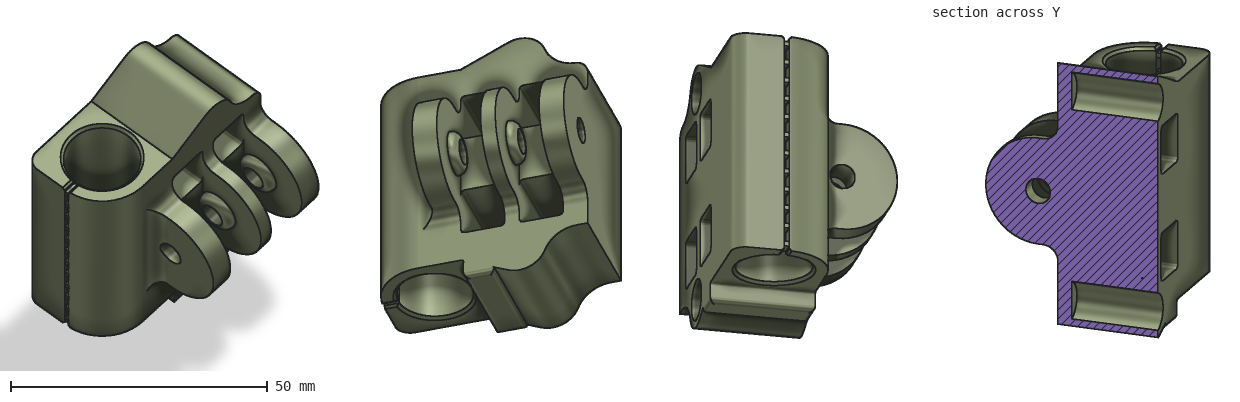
import cadquery as cq
import math


total_height = 54.45
depth = 45.2
body_height = 44.85
wall = 3.0
bore_diameter = 15.0
body_width = bore_diameter + 2 * wall
bore_center = body_width / 2
front_corner_radius = 3.0
bore_chamfer = 0.6

boss_radius = 5.6
boss_center_y = 31.2
boss_center_z = total_height / 2 - boss_radius
hollow_radius = 7.0
rear_half_height = 19.1
rear_corner_radius = 2.7
side_hole_diameter = 8.2
side_hole_depth = body_width - wall

outer_lug_thickness = 5.0
middle_lug_thickness = 3.0
lug_gap = 9.0
lug_radius = 11.0
lug_reach = 4.1
lug_blend_radius = 3.0
pin_diameter = 5.0
spacer_radius = 4.4
spacer_height = 1.8
pin_x = body_width + lug_reach

rear_lug_front = depth - outer_lug_thickness
middle_lug_back = rear_lug_front - lug_gap
middle_lug_front = middle_lug_back - middle_lug_thickness
front_lug_back = middle_lug_front - lug_gap
front_lug_front = front_lug_back - outer_lug_thickness

window_height = 10.0
window_center_z = 11.05
window_radius = 1.0

foot_setback = 0.55
foot_front = front_lug_back + foot_setback
foot_back = 26.0
foot_bottom = -26.5
foot_edge_radius = 1.15
foot_inner_radius = 0.5

slit_width = 1.0
slit_chamfer = 0.5
bridge_count = 12
bridge_pitch = 3.8
bridge_height = 1.0
bridge_recess = 0.1


def tangent_point_on_boss(corner_y, corner_z):
    """Point where a line from the corner touches the front of the upper boss."""
    dy = corner_y - boss_center_y
    dz = corner_z - boss_center_z
    angle = math.atan2(dz, dy) - math.acos(boss_radius / math.hypot(dy, dz))
    return (
        boss_center_y + boss_radius * math.cos(angle),
        boss_center_z + boss_radius * math.sin(angle),
    )


def make_half_profile():
    """Upper half of the side outline, extruded across the body width."""
    corner = (front_lug_back, body_height / 2)
    boss_front = tangent_point_on_boss(*corner)
    boss_top = (boss_center_y, boss_center_z + boss_radius)

    hollow_z = rear_half_height + hollow_radius
    center_distance = boss_radius + hollow_radius
    hollow_y = boss_center_y + math.sqrt(center_distance**2 - (hollow_z - boss_center_z) ** 2)
    share = boss_radius / center_distance
    boss_back = (
        boss_center_y + share * (hollow_y - boss_center_y),
        boss_center_z + share * (hollow_z - boss_center_z),
    )
    return (
        cq.Workplane("YZ")
        .moveTo(0, 0)
        .lineTo(0, corner[1])
        .lineTo(*corner)
        .lineTo(*boss_front)
        .threePointArc(boss_top, boss_back)
        .radiusArc((hollow_y, rear_half_height), -hollow_radius)
        .lineTo(depth, rear_half_height)
        .lineTo(depth, 0)
        .close()
        .extrude(body_width)
    )


def make_foot():
    """Block under the lower slope with rounded bottom edges and a small blend in front."""
    ceiling = -body_height / 2
    foot = (
        cq.Workplane("YZ")
        .moveTo(foot_front - foot_inner_radius, ceiling)
        .radiusArc((foot_front, ceiling - foot_inner_radius), foot_inner_radius)
        .lineTo(foot_front, foot_bottom)
        .lineTo(foot_back, foot_bottom)
        .lineTo(foot_back, ceiling + wall)
        .lineTo(foot_front - foot_inner_radius, ceiling + wall)
        .close()
        .extrude(body_width)
    )
    return foot.faces("<Z").edges().fillet(foot_edge_radius)


def make_body():
    upper = make_half_profile()
    rounded_upper = upper.faces(">Y").edges(">Z").fillet(rear_corner_radius)
    lower = upper.mirror("XY")

    slope_end = (
        cq.Workplane("XY", origin=(0, 0, -total_height / 2))
        .box(body_width, foot_front, (total_height - body_height) / 2, centered=False)
    )
    body = rounded_upper.union(lower.cut(slope_end)).union(make_foot())

    plan = (
        cq.Workplane("XY", origin=(0, 0, -total_height / 2))
        .moveTo(0, depth)
        .lineTo(0, front_corner_radius)
        .radiusArc((front_corner_radius, 0), -front_corner_radius)
        .lineTo(bore_center, 0)
        .radiusArc((body_width, bore_center), -bore_center)
        .lineTo(body_width, depth)
        .close()
        .extrude(total_height)
    )
    return body.intersect(plan)


def make_lug(front, back):
    """Rounded plate flaring into the right face of the body."""
    blend_x = body_width + lug_blend_radius
    root = lug_radius + lug_blend_radius
    return (
        cq.Workplane("XZ", origin=(0, back, 0))
        .moveTo(body_width - wall / 2, -root)
        .lineTo(body_width, -root)
        .radiusArc((blend_x, -lug_radius), lug_blend_radius)
        .lineTo(pin_x, -lug_radius)
        .threePointArc((pin_x + lug_radius, 0), (pin_x, lug_radius))
        .lineTo(blend_x, lug_radius)
        .radiusArc((body_width, root), lug_blend_radius)
        .lineTo(body_width - wall / 2, root)
        .close()
        .extrude(back - front)
    )


def make_front_lug():
    """Front lug whose front face also blends into the body."""
    blend_start = front_lug_front - lug_blend_radius
    plan = (
        cq.Workplane("XY", origin=(0, 0, -total_height / 2))
        .moveTo(body_width - wall / 2, front_lug_back)
        .lineTo(body_width - wall / 2, blend_start)
        .lineTo(body_width, blend_start)
        .radiusArc((body_width + lug_blend_radius, front_lug_front), lug_blend_radius)
        .lineTo(pin_x + lug_radius, front_lug_front)
        .lineTo(pin_x + lug_radius, front_lug_back)
        .close()
        .extrude(total_height)
    )
    return make_lug(blend_start, front_lug_back).intersect(plan)


def make_spacer(seat, direction):
    """Domed ring on a lug face; direction is +1 or -1 along Y."""
    crown = seat + direction * spacer_height
    crown_radius = spacer_radius - spacer_height
    bend = spacer_height * math.sqrt(0.5)
    return (
        cq.Workplane("XY")
        .moveTo(pin_x, seat)
        .lineTo(pin_x + spacer_radius, seat)
        .threePointArc(
            (pin_x + crown_radius + bend, seat + direction * bend),
            (pin_x + crown_radius, crown),
        )
        .lineTo(pin_x, crown)
        .close()
        .revolve(360, (pin_x, 0, 0), (pin_x, 1, 0))
    )


def make_windows():
    centers = []
    for gap_front in (front_lug_back, middle_lug_back):
        for center_z in (window_center_z, -window_center_z):
            centers.append((gap_front + lug_gap / 2, center_z))
    return (
        cq.Workplane("YZ")
        .pushPoints(centers)
        .rect(lug_gap, window_height)
        .extrude(body_width)
        .edges("|X")
        .fillet(window_radius)
    )


def make_side_holes():
    return (
        cq.Workplane("YZ")
        .pushPoints([(boss_center_y, boss_center_z), (boss_center_y, -boss_center_z)])
        .circle(side_hole_diameter / 2)
        .extrude(side_hole_depth)
    )


def make_bore():
    """Clamp bore with a chamfer at each end."""
    half = body_height / 2
    radius = bore_diameter / 2
    return (
        cq.Workplane("XZ", origin=(bore_center, bore_center, 0))
        .moveTo(0, -half)
        .lineTo(radius + bore_chamfer, -half)
        .lineTo(radius, -half + bore_chamfer)
        .lineTo(radius, half - bore_chamfer)
        .lineTo(radius + bore_chamfer, half)
        .lineTo(0, half)
        .close()
        .revolve(360, (0, 0, 0), (0, 1, 0))
    )


def make_slit():
    """Slit outline with flared ends, interrupted by the bridges."""
    half = body_height / 2
    narrow = slit_width / 2
    wide = narrow + slit_chamfer
    slit = (
        cq.Workplane("XZ", origin=(bore_center, 0, 0))
        .polyline([
            (-wide, -half),
            (wide, -half),
            (narrow, -half + slit_chamfer),
            (narrow, half - slit_chamfer),
            (wide, half),
            (-wide, half),
            (-narrow, half - slit_chamfer),
            (-narrow, -half + slit_chamfer),
        ])
        .close()
        .extrude(-bore_center)
    )
    bridge = cq.Workplane("XY", origin=(bore_center, wall / 2, 0)).box(
        slit_width, wall - 2 * bridge_recess, bridge_height
    )
    for index in range(bridge_count):
        offset = (index - (bridge_count - 1) / 2) * bridge_pitch
        slit = slit.cut(bridge.translate((0, 0, offset)))
    return slit


result = make_body()
result = result.union(make_lug(rear_lug_front, depth))
result = result.union(make_lug(middle_lug_front, middle_lug_back))
result = result.union(make_front_lug())

spacer_seats = [
    (rear_lug_front, -1),
    (middle_lug_back, 1),
    (middle_lug_front, -1),
    (front_lug_back, 1),
]
for seat, direction in spacer_seats:
    result = result.union(make_spacer(seat, direction))

pin_hole = (
    cq.Workplane("XZ", origin=(pin_x, depth, 0))
    .circle(pin_diameter / 2)
    .extrude(depth - front_lug_front + lug_blend_radius)
)
for cutter in (make_bore(), make_slit(), make_windows(), make_side_holes(), pin_hole):
    result = result.cut(cutter)